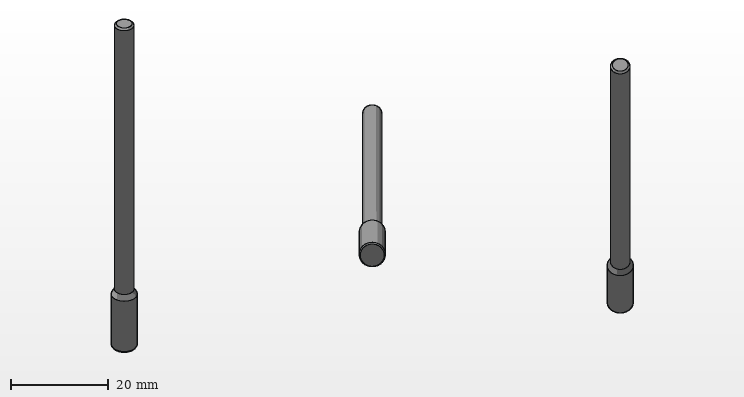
import cadquery as cq

total_length = 80.0
rod_diameter = 4.0
base_diameter = 5.4

shoulder_height = 12.9
cone_height = 1.2
base_height = shoulder_height + cone_height

tip_bevel = 0.4
foot_bevel_height = 0.4
foot_bevel_inset = 0.2


def make_base():
    """Cylindrical base whose conical shoulder narrows to the rod diameter."""
    cylinder = (
        cq.Workplane("XY")
        .circle(base_diameter / 2)
        .extrude(shoulder_height)
        .faces("<Z")
        .chamfer(foot_bevel_height, foot_bevel_inset)
    )
    cone = cq.Workplane(
        cq.Solid.makeCone(
            base_diameter / 2,
            rod_diameter / 2,
            cone_height,
            pnt=cq.Vector(0, 0, shoulder_height),
        )
    )
    return cylinder.union(cone)


def make_rod():
    """Slender rod standing on the top face of the base, bevelled at its tip."""
    return (
        cq.Workplane("XY")
        .workplane(offset=base_height)
        .circle(rod_diameter / 2)
        .extrude(total_length - base_height)
        .faces(">Z")
        .chamfer(tip_bevel)
    )


base = make_base()
rod = make_rod()

result = cq.Compound.makeCompound([base.val(), rod.val()])